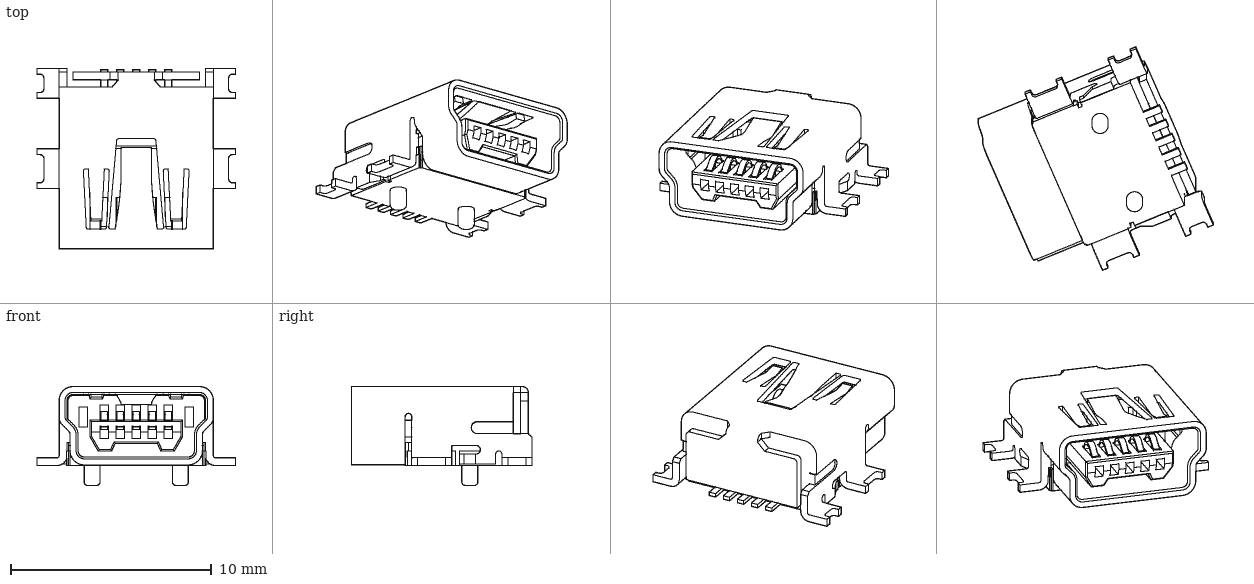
import cadquery as cq
import math


SHEET = 0.4
SHELL_HALF_WIDTH = 3.85
SHELL_TOP = 3.95
SHELL_REAR = 8.07
CORNER_RADIUS = 0.7
INNER_HALF_WIDTH = SHELL_HALF_WIDTH - SHEET
INNER_TOP = SHELL_TOP - SHEET

MOUTH_DEPTH = 2.68
MOUTH_FLOOR = 0.04
LOWER_HALF_WIDTH = 3.3
STEP_TOP = 2.2
STEP_BOTTOM = STEP_TOP - (SHELL_HALF_WIDTH - LOWER_HALF_WIDTH)
STEP_OUTER_RADIUS = 0.55
STEP_INNER_RADIUS = 0.31
MOUTH_BEVEL = 0.1

RELIEF_REAR = 3.0
RELIEF_TOP = 2.6

SKIRT_BOTTOM = 0.08
WALL_REAR = 9.0
REAR_WALL_TOP = 1.6
REAR_WALL_CHAMFER = 0.18
REAR_SLOT_TOP = 2.2
REAR_SLOT_FRONT = 5.97

FOOT_TIP = 4.95
FOOT_RANGES = ((RELIEF_REAR, 4.99), (7.5, WALL_REAR))
FOOT_BEND_INNER = 0.1
FOOT_BEND_OUTER = FOOT_BEND_INNER + SHEET
FOOT_NOTCH_DEPTH = 0.34
FOOT_NOTCH_MARGIN = 0.3
FOOT_NOTCH_RADIUS = 0.18
FOOT_SLOT_WIDTH = 0.31
FOOT_SLOT_TOP = 0.73

WINDOW_FRONT = FOOT_RANGES[0][1]
WINDOW_REAR = 6.42
WINDOW_TOP = 1.0
WINDOW_RADIUS = 0.1
TAB_TOP = 0.58
TAB_ROOT = 6.18
TAB_BEND = 5.6
TAB_TIP = 5.38
TAB_INSET = 0.25

COVER_REAR = 8.82
COVER_FRONT = COVER_REAR - SHEET
COVER_HALF_WIDTH = 3.16
COVER_SHOULDER = 3.23
COVER_CORNER_RADIUS = 0.22
COVER_BOTTOM = 0.5
NECK_ROOT_HALF_WIDTH = 1.21
NECK_HALF_WIDTH = 0.9
NECK_FLARE = 0.41
NECK_BOTTOM = COVER_SHOULDER + NECK_FLARE

SPRING_SHEET = 0.36
OPENING_FRONT = 0.98
OPENING_RADIUS = 0.1
LATCH_OPENING_REAR = 5.49
LATCH_OPENING_FRONT_HALF = 1.37
LATCH_OPENING_REAR_HALF = 0.97
LATCH_ROOT_HALF = 1.06
LATCH_WAIST_HALF = 0.855
LATCH_TIP_HALF = 0.75
LATCH_BEND_FRONT = 3.55
LATCH_BEND_REAR = 3.82
LATCH_TIP = 5.05
LATCH_LOW = 3.42
LATCH_TIP_TOP = 3.75
SIDE_SPRING_X = 1.99
SIDE_OPENING_REAR = 3.98
SIDE_OPENING_FRONT_HALF = 0.5
SIDE_OPENING_REAR_HALF = 0.65
SIDE_SPRING_ROOT_HALF = 0.4
SIDE_SPRING_TIP_HALF = 0.27
SIDE_BEND_REAR = 2.23
SIDE_BEND_FRONT = 2.0
SIDE_SPRING_TIP = 1.49
SIDE_TIP_LEAN = 0.1
SIDE_LOW = 3.68
SIDE_TIP_TOP = 3.78

HOUSING_FRONT = 5.0
HOUSING_BEVEL_WIDTH = 0.13
HOUSING_BEVEL_DEPTH = 0.05
BASE_TOP = MOUTH_FLOOR + SHEET
RAIL_X = (3.31, 3.39, 3.47)
RAIL_LOW_TOP = 0.73
RAIL_HIGH_TOP = 1.15
RAIL_REAR_TOP = 1.9
RAIL_INNER_FRONT = 2.7
RAIL_LOW_FRONT = 2.78
RAIL_OUTER_FRONT = 2.83
SLOT_RIB_HALF_WIDTH = 3.75
SLOT_RIB_TOP = 2.17
RECESS_FRONT = 5.19
RECESS_DEPTH = 0.2
POCKET_X = 2.65
POCKET_WIDTH = 0.42
POCKET_BOTTOM = 1.92
POCKET_HEIGHT = 1.0
POCKET_DEPTH = 0.8
PEG_X = 2.2
PEG_Y = 5.9
PEG_DIAMETER = 0.81
PEG_LENGTH = 1.0
PEG_ROUNDING = 0.2

TONGUE_FRONT = 0.45
TONGUE_TOP = 2.27
TONGUE_HALF_WIDTH = 2.3
TONGUE_SIDE_BOTTOM = 1.42
TONGUE_BOTTOM = 0.72
TONGUE_FOOT_OUTER = 1.89
TONGUE_FOOT_INNER = 1.23
TONGUE_ARCH_HALF = 1.05
TONGUE_ARCH_TOP = 1.11
NOSE_TOP = 1.67
NOSE_SETBACK = 0.35
NOSE_CHAMFER = 0.08

CONTACT_COUNT = 5
CONTACT_PITCH = 0.8
CONTACT_WIDTH = 0.32
CONTACT_SHEET = 0.14
CONTACT_TOP = 2.69
SLOT_WIDTH = 0.43
SLOT_BOTTOM = 1.36
SLOT_CEILING = 1.96
SLOT_BRIDGE_REAR = 0.93
SLOT_REAR = 2.55
WALL_SLOT_TOP = 3.02
WALL_SLOT_DEPTH = 0.6
TAIL_WIDTH = 0.36
TAIL_HEIGHT = 0.2
TAIL_END = 8.94

EMBED = 0.2


def block(x_range, y_range, z_range):
    """Box between pairs of limits."""
    size = [high - low for low, high in (x_range, y_range, z_range)]
    corner = (x_range[0], y_range[0], z_range[0])
    return cq.Workplane("XY").box(*size, centered=False).translate(corner)


def across(half_width, y_range, z_range):
    """Box centred on X = 0."""
    return block((-half_width, half_width), y_range, z_range)


def along_y(points, y_range):
    """Prism of an XZ outline."""
    start, end = y_range
    plane = cq.Workplane("XZ", origin=(0, start, 0))
    return plane.polyline(points).close().extrude(start - end)


def along_x(points, half_width):
    """Prism of a YZ outline, centred on X = 0."""
    return cq.Workplane("YZ").polyline(points).close().extrude(half_width, both=True)


def mirrored_outline(right_points):
    """Close an outline that is symmetric about X = 0."""
    return right_points + [(-x, z) for x, z in reversed(right_points)]


def both_sides(solid):
    return solid.union(solid.mirror("YZ"))


def trapezoid(front_y, rear_y, front_half, rear_half):
    """Tapered plan shape, tall enough for the top sheet and the springs cut out of it."""
    points = mirrored_outline([(front_half, front_y), (rear_half, rear_y)])
    plane = cq.Workplane("XY", origin=(0, 0, CONTACT_TOP))
    return plane.polyline(points).close().extrude(SHELL_TOP - CONTACT_TOP)


def contact_positions():
    middle = (CONTACT_COUNT - 1) / 2
    return [(index - middle) * CONTACT_PITCH for index in range(CONTACT_COUNT)]


def keyed_prism(inset):
    """Keyed section of the mouth, moved inwards by the inset, with concentric rounded corners."""
    step_shift = inset * math.tan(math.radians(22.5))
    corners = (
        (SHELL_HALF_WIDTH - inset, SHELL_TOP - inset, CORNER_RADIUS - inset),
        (SHELL_HALF_WIDTH - inset, STEP_TOP + step_shift, STEP_OUTER_RADIUS - inset),
        (LOWER_HALF_WIDTH - inset, STEP_BOTTOM + step_shift, STEP_INNER_RADIUS + inset),
        (LOWER_HALF_WIDTH - inset, MOUTH_FLOOR + inset, CORNER_RADIUS - inset),
    )
    solid = along_y(mirrored_outline([(x, z) for x, z, _ in corners]), (0, MOUTH_DEPTH))
    for x, z, radius in corners:
        for side in (-1, 1):
            corner = cq.selectors.NearestToPointSelector((side * x, MOUTH_DEPTH / 2, z))
            solid = solid.edges("|Y").edges(corner).fillet(radius)
    return solid


def mouth():
    tube = keyed_prism(0).cut(keyed_prism(SHEET))
    lip = tube.faces("<Y").val().innerWires()[0].Edges()
    return tube.newObject(lip).chamfer(MOUTH_BEVEL)


def canopy():
    """Top sheet and upper side walls behind the mouth."""
    span = (MOUTH_DEPTH, SHELL_REAR)
    outer = across(SHELL_HALF_WIDTH, span, (FOOT_BEND_OUTER, SHELL_TOP))
    outer = outer.edges("|Y and >Z").fillet(CORNER_RADIUS)
    inner = across(INNER_HALF_WIDTH, span, (0, INNER_TOP))
    inner = inner.edges("|Y and >Z").fillet(CORNER_RADIUS - SHEET)
    relief_width = RELIEF_REAR - MOUTH_DEPTH
    relief = across(FOOT_TIP, (MOUTH_DEPTH, RELIEF_REAR), (0, RELIEF_TOP))
    relief = relief.edges("|X and >Z").fillet(relief_width * 0.49)
    return outer.cut(inner).cut(relief)


def foot(y_range):
    """Foot on the +X side, with its bend and the notch in its tip."""
    front, rear = y_range
    solid = (
        cq.Workplane("XZ", origin=(0, front, 0))
        .moveTo(SHELL_HALF_WIDTH, FOOT_BEND_OUTER)
        .radiusArc((SHELL_HALF_WIDTH + FOOT_BEND_INNER, SHEET), -FOOT_BEND_INNER)
        .lineTo(FOOT_TIP, SHEET)
        .lineTo(FOOT_TIP, 0)
        .lineTo(INNER_HALF_WIDTH + FOOT_BEND_OUTER, 0)
        .radiusArc((INNER_HALF_WIDTH, FOOT_BEND_OUTER), FOOT_BEND_OUTER)
        .close()
        .extrude(front - rear)
    )
    notch_floor = FOOT_TIP - FOOT_NOTCH_DEPTH
    notch = block(
        (notch_floor, FOOT_TIP + FOOT_NOTCH_DEPTH),
        (front + FOOT_NOTCH_MARGIN, rear - FOOT_NOTCH_MARGIN),
        (0, SHEET),
    ).edges("|Z and <X").fillet(FOOT_NOTCH_RADIUS)
    return solid.cut(notch)


def lower_walls():
    """Skirt and rear wall extension of the +X side."""
    wall_x = (INNER_HALF_WIDTH, SHELL_HALF_WIDTH)
    rear_foot_front = FOOT_RANGES[1][0]
    skirt = block(wall_x, (TAB_ROOT, rear_foot_front), (SKIRT_BOTTOM, FOOT_BEND_OUTER))
    extension = block(wall_x, (SHELL_REAR, WALL_REAR), (FOOT_BEND_OUTER, REAR_WALL_TOP))
    extension = extension.edges("|X and >Y and >Z").chamfer(REAR_WALL_CHAMFER)
    return skirt.union(extension)


def rear_slot(half_width, top):
    """Round-ended slot shape, open to the rear."""
    radius = (top - REAR_WALL_TOP) / 2
    middle = (REAR_SLOT_FRONT, REAR_WALL_TOP + radius)
    return (
        cq.Workplane("YZ")
        .moveTo(SHELL_REAR, REAR_WALL_TOP)
        .lineTo(REAR_SLOT_FRONT + radius, REAR_WALL_TOP)
        .threePointArc(middle, (REAR_SLOT_FRONT + radius, top))
        .lineTo(SHELL_REAR, top)
        .close()
        .extrude(half_width, both=True)
    )


def side_cutouts():
    """Rear slot, foot slot and window of the side walls."""
    foot_slot_rear = FOOT_RANGES[1][0]
    foot_slot = across(FOOT_TIP, (foot_slot_rear - FOOT_SLOT_WIDTH, foot_slot_rear), (0, FOOT_SLOT_TOP))
    foot_slot = foot_slot.edges("|X and >Z").fillet(FOOT_SLOT_WIDTH * 0.49)
    window = across(FOOT_TIP, (WINDOW_FRONT, WINDOW_REAR), (TAB_TOP, WINDOW_TOP))
    window = window.edges("|X and >Y").fillet((WINDOW_TOP - TAB_TOP) * 0.49)
    window = window.edges("|X and <Y and >Z").fillet(WINDOW_RADIUS)
    tab_clearance = across(FOOT_TIP, (WINDOW_FRONT, TAB_ROOT), (0, TAB_TOP))
    return rear_slot(FOOT_TIP, REAR_SLOT_TOP).union(foot_slot).union(window).union(tab_clearance)


def retaining_tab():
    outer_points = [
        (SHELL_HALF_WIDTH, TAB_ROOT),
        (SHELL_HALF_WIDTH - TAB_INSET, TAB_BEND),
        (SHELL_HALF_WIDTH - TAB_INSET, TAB_TIP),
    ]
    inner_points = [(x - SHEET, y) for x, y in reversed(outer_points)]
    plane = cq.Workplane("XY", origin=(0, 0, SKIRT_BOTTOM))
    return plane.polyline(outer_points + inner_points).close().extrude(TAB_TOP - SKIRT_BOTTOM)


def rear_cover():
    outline = mirrored_outline([
        (NECK_HALF_WIDTH, SHELL_TOP),
        (NECK_HALF_WIDTH, NECK_BOTTOM),
        (NECK_HALF_WIDTH + NECK_FLARE, COVER_SHOULDER),
        (COVER_HALF_WIDTH, COVER_SHOULDER),
        (COVER_HALF_WIDTH, COVER_BOTTOM),
    ])
    cover = along_y(outline, (COVER_FRONT, COVER_REAR))
    for side in (-1, 1):
        corner = (side * COVER_HALF_WIDTH, COVER_FRONT, COVER_SHOULDER)
        edge = cq.selectors.NearestToPointSelector(corner)
        cover = cover.edges("|Y").edges(edge).fillet(COVER_CORNER_RADIUS)
    cover = cover.edges("|X and >Y and >Z").fillet(SHELL_TOP - NECK_BOTTOM)
    neck = trapezoid(SHELL_REAR, COVER_FRONT, NECK_ROOT_HALF_WIDTH, NECK_HALF_WIDTH)
    neck = neck.intersect(across(NECK_ROOT_HALF_WIDTH, (SHELL_REAR, COVER_FRONT), (NECK_BOTTOM, SHELL_TOP)))
    return cover.union(neck)


def latch_opening():
    opening = trapezoid(
        OPENING_FRONT, LATCH_OPENING_REAR, LATCH_OPENING_FRONT_HALF, LATCH_OPENING_REAR_HALF
    )
    return opening.edges("|Z").fillet(OPENING_RADIUS)


def side_opening():
    opening = trapezoid(OPENING_FRONT, SIDE_OPENING_REAR, SIDE_OPENING_FRONT_HALF, SIDE_OPENING_REAR_HALF)
    return opening.edges("|Z").fillet(OPENING_RADIUS)


def spring_strip(top_points, half_width, tip_lean=0):
    """Bent strip of constant height below a line of (Y, Z) points; its end leans forward at the bottom."""
    bottom_points = [(y, z - SPRING_SHEET) for y, z in reversed(top_points)]
    tip_y, tip_z = bottom_points[0]
    bottom_points[0] = (tip_y - tip_lean, tip_z)
    return along_x(top_points + bottom_points, half_width)


def latch_spring():
    """Centre spring: rooted at the front, dips and rises again to a free rear end."""
    strip = spring_strip(
        [
            (OPENING_FRONT, SHELL_TOP),
            (LATCH_BEND_FRONT, LATCH_LOW),
            (LATCH_BEND_REAR, LATCH_LOW),
            (LATCH_TIP, LATCH_TIP_TOP),
        ],
        LATCH_OPENING_FRONT_HALF,
    )
    waist_y = (OPENING_FRONT + LATCH_BEND_FRONT) / 2
    ramp = (
        cq.Workplane("XY", origin=(0, 0, CONTACT_TOP))
        .moveTo(LATCH_ROOT_HALF, OPENING_FRONT)
        .threePointArc((LATCH_WAIST_HALF, waist_y), (LATCH_TIP_HALF, LATCH_BEND_FRONT))
        .lineTo(-LATCH_TIP_HALF, LATCH_BEND_FRONT)
        .threePointArc((-LATCH_WAIST_HALF, waist_y), (-LATCH_ROOT_HALF, OPENING_FRONT))
        .close()
        .extrude(SHELL_TOP - CONTACT_TOP)
    )
    end = across(LATCH_TIP_HALF, (LATCH_BEND_FRONT, LATCH_TIP), (0, SHELL_TOP))
    return strip.intersect(ramp.union(end))


def side_spring():
    """Side spring: rooted at the rear, dips and curls up at its free front end."""
    strip = spring_strip(
        [
            (SIDE_OPENING_REAR, SHELL_TOP),
            (SIDE_BEND_REAR, SIDE_LOW),
            (SIDE_BEND_FRONT, SIDE_LOW),
            (SIDE_SPRING_TIP, SIDE_TIP_TOP),
        ],
        SIDE_OPENING_REAR_HALF,
        SIDE_TIP_LEAN,
    )
    plan = trapezoid(
        SIDE_SPRING_TIP - SIDE_TIP_LEAN, SIDE_OPENING_REAR, SIDE_SPRING_TIP_HALF, SIDE_SPRING_ROOT_HALF
    )
    return strip.intersect(plan)


def shell():
    solid = mouth().union(canopy()).union(both_sides(lower_walls()))
    for y_range in FOOT_RANGES:
        solid = solid.union(both_sides(foot(y_range)))
    solid = solid.cut(side_cutouts()).union(both_sides(retaining_tab())).union(rear_cover())
    solid = solid.cut(latch_opening()).union(latch_spring())
    for x in (-SIDE_SPRING_X, SIDE_SPRING_X):
        solid = solid.cut(side_opening().translate((x, 0, 0))).union(side_spring().translate((x, 0, 0)))
    return solid


def housing_body():
    body = across(INNER_HALF_WIDTH, (HOUSING_FRONT, SHELL_REAR), (0, INNER_TOP))
    body = body.edges("|Y and >Z").fillet(CORNER_RADIUS - SHEET)
    body = body.faces("<Y").edges("not <Z").chamfer(HOUSING_BEVEL_DEPTH, HOUSING_BEVEL_WIDTH)
    pocket = block(
        (POCKET_X - POCKET_WIDTH / 2, POCKET_X + POCKET_WIDTH / 2),
        (HOUSING_FRONT, HOUSING_FRONT + POCKET_DEPTH),
        (POCKET_BOTTOM, POCKET_BOTTOM + POCKET_HEIGHT),
    )
    return body.cut(both_sides(pocket))


def window_recess():
    """Groove behind each side window, with a channel down past the end of the retaining tab."""
    recess_x = (INNER_HALF_WIDTH - RECESS_DEPTH, INNER_HALF_WIDTH)
    groove = block(recess_x, (WINDOW_FRONT, WINDOW_REAR), (RAIL_LOW_TOP, WINDOW_TOP))
    channel = block(recess_x, (RECESS_FRONT, TAB_TIP), (0, RAIL_LOW_TOP))
    return both_sides(groove.union(channel))


def housing_base():
    """Floor under the tongue, with a stepped rail along each side."""
    inner_x, middle_x, outer_x = RAIL_X
    floor = across(inner_x, (MOUTH_DEPTH, HOUSING_FRONT), (0, BASE_TOP))
    inner_rail = block((inner_x, middle_x), (RAIL_INNER_FRONT, HOUSING_FRONT), (0, RAIL_HIGH_TOP))
    low_rail = block((middle_x, outer_x), (RAIL_LOW_FRONT, HOUSING_FRONT), (0, RAIL_LOW_TOP))
    high_rail = block((middle_x, INNER_HALF_WIDTH), (RAIL_OUTER_FRONT, HOUSING_FRONT), (0, RAIL_HIGH_TOP))
    rear_rail = block((inner_x, INNER_HALF_WIDTH), (RELIEF_REAR, RECESS_FRONT), (0, RAIL_REAR_TOP))
    rail = inner_rail.union(low_rail).union(high_rail).union(rear_rail)
    return floor.union(both_sides(rail))


def slot_rib():
    """Ribs standing out into the rear slots of the side walls."""
    return rear_slot(SLOT_RIB_HALF_WIDTH, SLOT_RIB_TOP)


def tongue():
    outline = mirrored_outline([
        (TONGUE_HALF_WIDTH, TONGUE_TOP),
        (TONGUE_HALF_WIDTH, TONGUE_SIDE_BOTTOM),
        (TONGUE_FOOT_OUTER, TONGUE_BOTTOM),
        (TONGUE_FOOT_INNER, TONGUE_BOTTOM),
        (TONGUE_ARCH_HALF, TONGUE_ARCH_TOP),
    ])
    solid = along_y(outline, (TONGUE_FRONT, HOUSING_FRONT))
    undercut = along_x(
        [
            (TONGUE_FRONT, NOSE_TOP),
            (TONGUE_FRONT + NOSE_SETBACK, TONGUE_BOTTOM),
            (TONGUE_FRONT, TONGUE_BOTTOM),
        ],
        TONGUE_HALF_WIDTH,
    )
    solid = solid.cut(undercut)
    nose = cq.selectors.BoxSelector(
        (-SHELL_HALF_WIDTH, 0, 0),
        (SHELL_HALF_WIDTH, TONGUE_FRONT + NOSE_SETBACK + NOSE_CHAMFER, SHELL_TOP),
        boundingbox=True,
    )
    rim = solid.edges(nose)
    fold = rim.edges(cq.selectors.NearestToPointSelector((0, TONGUE_FRONT, NOSE_TOP)))
    return rim.newObject([edge for edge in rim.vals() if not edge.isSame(fold.val())]).chamfer(NOSE_CHAMFER)


def peg():
    solid = cq.Workplane("XY", origin=(PEG_X, PEG_Y, 0))
    solid = solid.circle(PEG_DIAMETER / 2).extrude(-PEG_LENGTH)
    return solid.faces("<Z").fillet(PEG_ROUNDING) if False else solid.faces("<Z").edges().fillet(PEG_ROUNDING)


def contact_slot(x):
    """Slot through the tongue: open at its nose and top, and continued in the housing wall."""
    limits = (x - SLOT_WIDTH / 2, x + SLOT_WIDTH / 2)
    nose_slot = block(limits, (TONGUE_FRONT, SLOT_REAR), (SLOT_BOTTOM, SLOT_CEILING))
    top_slot = block(limits, (SLOT_BRIDGE_REAR, SLOT_REAR), (SLOT_BOTTOM, TONGUE_TOP))
    wall_slot = block(
        limits, (HOUSING_FRONT, HOUSING_FRONT + WALL_SLOT_DEPTH), (TONGUE_TOP, WALL_SLOT_TOP)
    )
    return nose_slot.union(top_slot).union(wall_slot)


def contact(x):
    """Sprung contact rising from the tongue over a rounded crest and down into the slot."""
    crest_rear = (2.31, 2.55)
    crest_middle = (2.0, CONTACT_TOP)
    crest_front = (1.6, 2.61)
    knee = (1.1, 2.25)
    tip_top = (0.95, 1.93)
    tip_bottom = (1.02, 1.8)
    root_top = TONGUE_TOP - 0.02
    spring = (
        cq.Workplane("YZ", origin=(x - CONTACT_WIDTH / 2, 0, 0))
        .moveTo(SLOT_REAR + EMBED, root_top)
        .lineTo(SLOT_REAR, root_top)
        .lineTo(*crest_rear)
        .threePointArc(crest_middle, crest_front)
        .lineTo(*knee)
        .lineTo(*tip_top)
        .lineTo(*tip_bottom)
        .lineTo(knee[0], knee[1] - CONTACT_SHEET)
        .lineTo(crest_front[0], crest_front[1] - CONTACT_SHEET)
        .threePointArc(
            (crest_middle[0], crest_middle[1] - CONTACT_SHEET),
            (crest_rear[0], crest_rear[1] - CONTACT_SHEET),
        )
        .lineTo(SLOT_REAR, root_top - CONTACT_SHEET)
        .lineTo(SLOT_REAR + EMBED, root_top - CONTACT_SHEET)
        .close()
        .extrude(CONTACT_WIDTH)
    )
    tail = block(
        (x - TAIL_WIDTH / 2, x + TAIL_WIDTH / 2), (SHELL_REAR - EMBED, TAIL_END), (0, TAIL_HEIGHT)
    )
    return spring.union(tail)


def housing():
    solid = housing_body().union(slot_rib()).union(housing_base()).union(tongue()).union(both_sides(peg()))
    solid = solid.cut(window_recess())
    for x in contact_positions():
        solid = solid.cut(contact_slot(x)).union(contact(x))
    return solid


result = shell().union(housing())